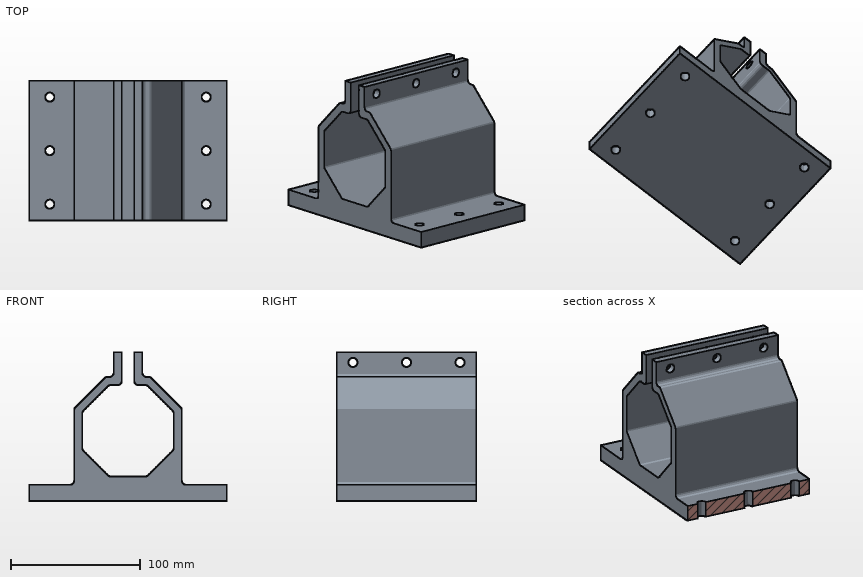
import cadquery as cq
import math

base_width = 152.4
length = 107.9
base_thickness = 12.6
bore_floor = 19.0
bore_across_flats = 70.4
wall = 6.4
clamp_gap = 9.5
overall_height = 114.9
corner_radius = 3.2

hole_diameter = 6.9
hole_pitch = 41.3
base_hole_spacing = 120.7
lug_hole_drop = 8.0
hole_rows = 3

octagon_ratio = math.tan(math.pi / 8)
bore_half = bore_across_flats / 2
body_half = bore_half + wall
bore_half_side = bore_half * octagon_ratio
body_half_side = body_half * octagon_ratio
bore_center = bore_floor + bore_half
bore_top = bore_center + bore_half
body_top = bore_center + body_half
gap_half = clamp_gap / 2
lug_outer = gap_half + wall
base_half = base_width / 2

right_half = [
    (base_half, 0),
    (base_half, base_thickness),
    (body_half, base_thickness),
    (body_half, bore_center + body_half_side),
    (body_half_side, body_top),
    (lug_outer, body_top),
    (lug_outer, overall_height),
    (gap_half, overall_height),
    (gap_half, bore_top),
    (bore_half_side, bore_top),
    (bore_half, bore_center + bore_half_side),
    (bore_half, bore_center - bore_half_side),
    (bore_half_side, bore_floor),
]
left_half = [(-x, z) for x, z in reversed(right_half)]


def is_rounded(edge):
    """Base and lug ends stay sharp; all other section corners are rounded."""
    center = edge.Center()
    on_base_end = abs(center.x) > body_half + wall / 2
    on_lug_top = center.z > overall_height - wall / 2
    return not (on_base_end or on_lug_top)


body = (
    cq.Workplane("XZ")
    .polyline(right_half + left_half)
    .close()
    .extrude(length / 2, both=True)
)
rounded_edges = [edge for edge in body.edges("|Y").vals() if is_rounded(edge)]
body = body.newObject(rounded_edges).fillet(corner_radius)

base_holes = (
    cq.Workplane("XY")
    .rarray(base_hole_spacing, hole_pitch, 2, hole_rows)
    .circle(hole_diameter / 2)
    .extrude(base_thickness)
)

lug_holes = (
    cq.Workplane("YZ")
    .center(0, overall_height - lug_hole_drop)
    .rarray(hole_pitch, 1.5, hole_rows, 1)
    .circle(hole_diameter / 2)
    .extrude(lug_outer, both=True)
)

result = body.cut(base_holes).cut(lug_holes)